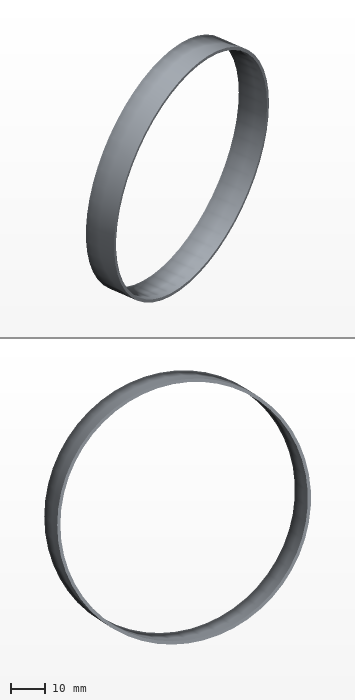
import cadquery as cq

outer_diameter = 80.0
inner_diameter = 78.0
ring_width = 10.0

result = (
    cq.Workplane("YZ", origin=(-ring_width / 2, 0, 0))
    .circle(outer_diameter / 2)
    .circle(inner_diameter / 2)
    .extrude(ring_width)
)